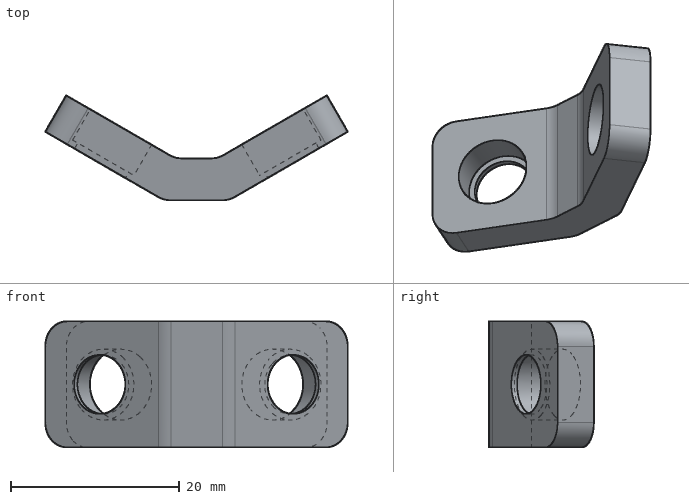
import cadquery as cq
import math

length = 35.98
height = 15.0
thickness = 5.0
depth = 12.5
leg_angle = 30.0
bend_radius = 2.9
corner_radius = 3.0
hole_diameter = 7.0
counterbore_diameter = 8.42
lip_thickness = 0.8
hole_from_tip = 7.5

angle = math.radians(leg_angle)
tip_x = length / 2
tip_y = depth - thickness * math.cos(angle)
outer_bend_x = tip_x - tip_y / math.tan(angle)
inner_bend_x = outer_bend_x - thickness * math.tan(angle / 2)
inner_tip_x = tip_x - thickness * math.sin(angle)
bend_reach = tip_x / 2


def bent_plate():
    """Plate with two sloping legs, sitting on Y = 0 and centred on Z = 0."""
    plate = (
        cq.Workplane("XY")
        .polyline([
            (-outer_bend_x, 0),
            (outer_bend_x, 0),
            (tip_x, tip_y),
            (inner_tip_x, depth),
            (inner_bend_x, thickness),
            (-inner_bend_x, thickness),
            (-inner_tip_x, depth),
            (-tip_x, tip_y),
        ])
        .close()
        .extrude(height / 2, both=True)
    )
    bend_zone = cq.selectors.BoxSelector(
        (-bend_reach, -thickness, -height), (bend_reach, 2 * thickness, height)
    )
    return plate.edges("|Z").edges(bend_zone).fillet(bend_radius)


def leg_normal(side):
    """Unit vector from the outer to the inner face of the leg on the given side (-1 or 1)."""
    return cq.Vector(-side * math.sin(angle), math.cos(angle), 0)


def round_leg_corners(plate, side):
    """Round the two end corners of the leg on the given side (-1 or 1)."""
    end_edges = plate.edges(cq.selectors.ParallelDirSelector(leg_normal(side)))
    return end_edges.fillet(corner_radius)


def leg_hole(side):
    """Through hole in one leg, with a deep counterbore from the inner face."""
    normal = leg_normal(side)
    center = cq.Vector(
        side * (tip_x - hole_from_tip * math.cos(angle)),
        tip_y - hole_from_tip * math.sin(angle),
        0,
    )
    hole = cq.Solid.makeCylinder(hole_diameter / 2, thickness, center, normal)
    counterbore = cq.Solid.makeCylinder(
        counterbore_diameter / 2,
        thickness - lip_thickness,
        center + normal * lip_thickness,
        normal,
    )
    return hole.fuse(counterbore)


result = bent_plate()
for side in (-1, 1):
    result = round_leg_corners(result, side)
    result = result.cut(leg_hole(side))